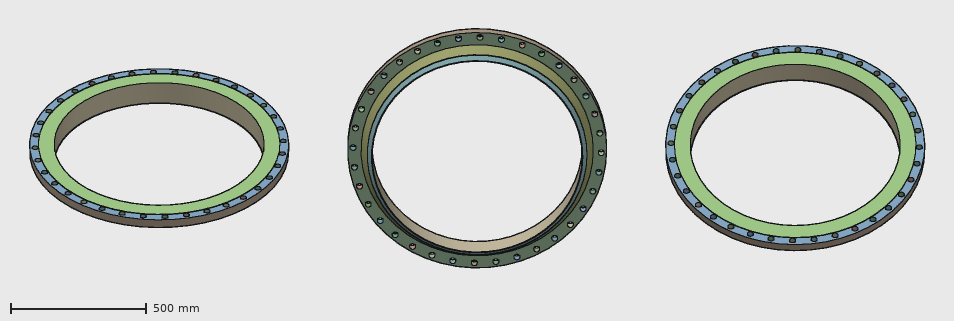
import cadquery as cq

flange_radius = 479.0
bore_radius = 388.0
total_height = 94.0

raised_face_radius = 447.0
raised_face_height = 2.0
flange_thickness = 35.0

hub_top_radius = 430.0
hub_land_radius = 407.0
hub_land_height = 5.0
weld_bevel_height = 14.0
weld_root_radius = 391.0

bolt_count = 36
bolt_circle_radius = 459.0
bolt_hole_diameter = 22.0

land_bottom = weld_bevel_height
land_top = land_bottom + hub_land_height
flange_top = total_height - raised_face_height
flange_bottom = flange_top - flange_thickness


def make_flange_body():
    """Revolve the raised face, flange, tapered hub and weld bevel around Z."""
    return (
        cq.Workplane("XZ")
        .moveTo(bore_radius, 0)
        .lineTo(weld_root_radius, 0)
        .lineTo(hub_land_radius, land_bottom)
        .lineTo(hub_land_radius, land_top)
        .lineTo(hub_top_radius, flange_bottom)
        .lineTo(flange_radius, flange_bottom)
        .lineTo(flange_radius, flange_top)
        .lineTo(raised_face_radius, flange_top)
        .lineTo(raised_face_radius, total_height)
        .lineTo(bore_radius, total_height)
        .close()
        .revolve(360, (0, 0, 0), (0, 1, 0))
    )


def make_bolt_holes():
    """Cylinders on the bolt circle, the first one on the +X axis."""
    return (
        cq.Workplane("XY")
        .polarArray(bolt_circle_radius, 0, 360, bolt_count)
        .circle(bolt_hole_diameter / 2)
        .extrude(total_height)
    )


result = make_flange_body().cut(make_bolt_holes())